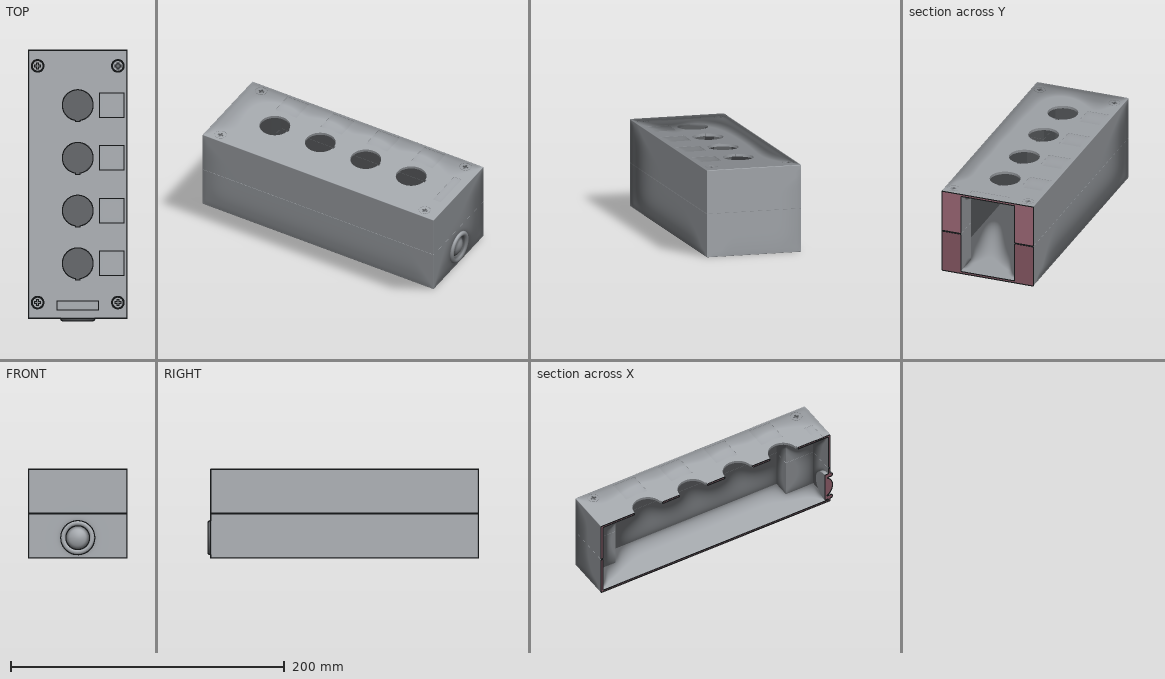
import cadquery as cq
length = 196.0
width = 72.0
height = 65.0
half_height = height / 2
wall = 2.0
joint_gap = 0.2
edge_round = 0.4

plug_height = 2.0
rear_y = (length + plug_height) / 2
front_y = rear_y - length
center_y = (front_y + rear_y) / 2

block_width = 13.3
block_length = 23.4

screw_x = 29.3
screw_y = 86.5
screw_head_radius = 4.0
screw_gap_radius = 4.5
screw_gap_depth = 0.2
cross_span = 4.4
cross_arm_width = 1.5
cross_depth = 1.5

button_count = 4
button_span = 115.6
button_pitch = button_span / (button_count - 1)
button_radius = 11.3
notch_width = 3.0
notch_reach = 12.0
first_button_y = center_y - button_span / 2

label_depth = 0.2
label_side = 18.0
label_x = 24.8
name_label_width = 30.5
name_label_length = 6.5
name_label_y = center_y - 88.5

plug_z = -17.6
plug_radius = 12.5
plug_bore_radius = 8.7
ring_round = (plug_radius - plug_bore_radius) / 2
plug_seat_depth = 2.8
dome_rise = 4.8
plug_backing = 2.0

corners = [(side_x, side_y) for side_x in (-1, 1) for side_y in (-1, 1)]
button_ys = [first_button_y + i * button_pitch for i in range(button_count)]


def box(x_size, y_size, z_size, x, y, z_bottom):
    """A box centred on (x, y) that stands on z_bottom."""
    return cq.Workplane("XY").box(x_size, y_size, z_size, (True, True, False)).translate((x, y, z_bottom))


def hollow_half(z_bottom, outer_face, cavity_z_bottom):
    """One half of the enclosure, open at the joint, with its corner blocks."""
    shell = box(width, length, half_height - joint_gap / 2, 0, center_y, z_bottom)
    shell = shell.edges("|Z").fillet(edge_round)
    shell = shell.faces(outer_face).edges().fillet(edge_round)
    cavity_width = width - 2 * wall
    cavity_length = length - 2 * wall
    cavity_height = half_height - wall
    cavity = box(cavity_width, cavity_length, cavity_height, 0, center_y, cavity_z_bottom)
    for side_x, side_y in corners:
        block_x = side_x * (cavity_width - block_width) / 2
        block_y = center_y + side_y * (cavity_length - block_length) / 2
        block = box(block_width, block_length, cavity_height, block_x, block_y, cavity_z_bottom)
        cavity = cavity.cut(block)
    return shell.cut(cavity)


def button_cutter(y):
    """Round hole with its key notch, through the top of the lid."""
    z = half_height - wall
    hole = cq.Workplane("XY", origin=(0, y, z)).circle(button_radius).extrude(wall)
    notch = box(notch_width, notch_reach, wall, 0, y - notch_reach / 2, z)
    return hole.union(notch)


def label_cutter(x_size, y_size, x, y):
    """Shallow recess for a label plate."""
    return box(x_size, y_size, label_depth, x, y, half_height - label_depth)


def screw_cutter(x, y):
    """Gap around a screw head and the cross recess in it."""
    gap = (
        cq.Workplane("XY", origin=(x, y, half_height - screw_gap_depth))
        .circle(screw_gap_radius)
        .circle(screw_head_radius)
        .extrude(screw_gap_depth)
    )
    z = half_height - cross_depth
    arm_along_x = box(cross_span, cross_arm_width, cross_depth, x, y, z)
    arm_along_y = box(cross_arm_width, cross_span, cross_depth, x, y, z)
    return gap.union(arm_along_x).union(arm_along_y)


def make_lid():
    """Upper half with button holes, label recesses and screw heads."""
    lid = hollow_half(joint_gap / 2, ">Z", 0)
    for y in button_ys:
        lid = lid.cut(button_cutter(y))
        lid = lid.cut(label_cutter(label_side, label_side, label_x, y))
    lid = lid.cut(label_cutter(name_label_width, name_label_length, 0, name_label_y))
    for side_x, side_y in corners:
        lid = lid.cut(screw_cutter(side_x * screw_x, center_y + side_y * screw_y))
    return lid


def make_plug():
    """Turned cable plug, its axis along Y; profile is (radius, height above the wall)."""
    straight = plug_height - ring_round
    mid_radius = (plug_radius + plug_bore_radius) / 2
    dome_radius = (plug_bore_radius**2 + dome_rise**2) / (2 * dome_rise)
    dome_top = dome_rise - plug_seat_depth
    dome_center = dome_top - dome_radius
    half_radius = plug_bore_radius / 2
    height_at_half_radius = dome_center + (dome_radius**2 - half_radius**2) ** 0.5
    back = -plug_seat_depth - plug_backing
    profile = (
        cq.Workplane("XY")
        .moveTo(0, back)
        .lineTo(plug_radius, back)
        .lineTo(plug_radius, straight)
        .threePointArc((mid_radius, plug_height), (plug_bore_radius, straight))
        .lineTo(plug_bore_radius, -plug_seat_depth)
        .threePointArc((half_radius, height_at_half_radius), (0, dome_top))
        .close()
    )
    plug = profile.revolve(360, (0, 0, 0), (0, 1, 0))
    return plug.rotate((0, 0, 0), (0, 0, 1), 180).translate((0, front_y, plug_z))


def make_base():
    """Lower half with the cable plug in its front wall."""
    base = hollow_half(-half_height, "<Z", wall - half_height)
    opening = (
        cq.Workplane("XZ", origin=(0, front_y, plug_z))
        .circle(plug_radius)
        .extrude(-wall)
    )
    return base.cut(opening).union(make_plug())


lid = make_lid()
base = make_base()

result = cq.Compound.makeCompound([lid.val(), base.val()])